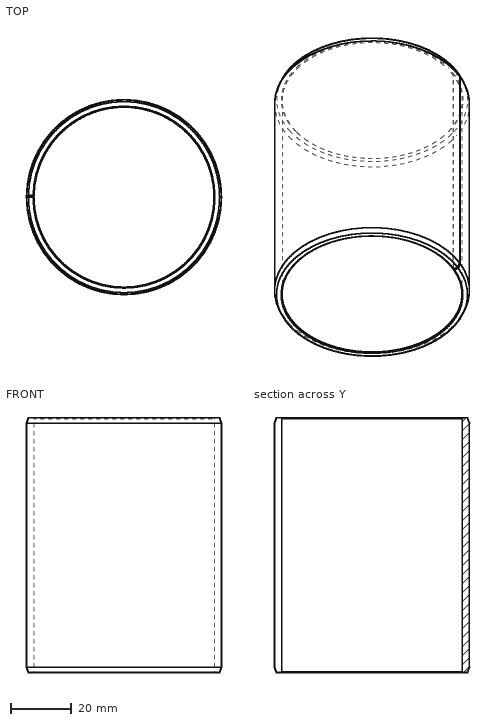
import cadquery as cq
import math

length = 85.0
outer_diameter = 65.0
wall = 2.5
outer_radius = outer_diameter / 2
inner_radius = outer_radius - wall
end_z = length / 2

outer_chamfer_length = 1.8
outer_chamfer_angle = 20.0
outer_chamfer_depth = outer_chamfer_length * math.tan(math.radians(outer_chamfer_angle))

inner_chamfer = 0.3

slit_width = 0.5
slit_centre_y = slit_width / 2


def make_sleeve():
    """Revolve the chamfered wall section about Z, centred on the origin."""
    section = [
        (inner_radius, -end_z + inner_chamfer),
        (inner_radius + inner_chamfer, -end_z),
        (outer_radius - outer_chamfer_depth, -end_z),
        (outer_radius, -end_z + outer_chamfer_length),
        (outer_radius, end_z - outer_chamfer_length),
        (outer_radius - outer_chamfer_depth, end_z),
        (inner_radius + inner_chamfer, end_z),
        (inner_radius, end_z - inner_chamfer),
    ]
    return cq.Workplane("XZ").polyline(section).close().revolve(360, (0, 0, 0), (0, 1, 0))


def make_slit():
    """Full-length cutter through the wall on the -X side only."""
    cutter = cq.Workplane("XY").box(outer_diameter, slit_width, 2 * length)
    return cutter.translate((-outer_radius, slit_centre_y, 0))


result = make_sleeve().cut(make_slit())